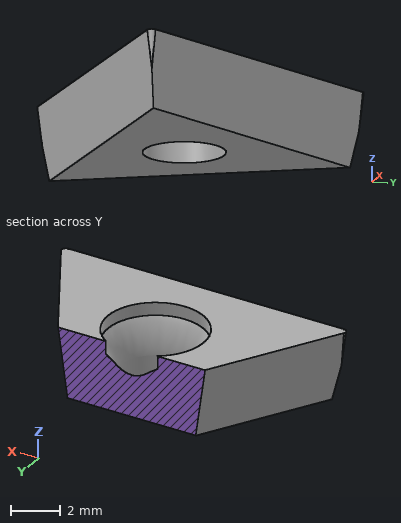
import cadquery as cq
import math

width = 13.46
thickness = 3.18
corner_radius = 0.2
clearance_angle = 7.0

rim_diameter = 4.5
bore_diameter = 3.39
rim_depth = 0.59
seat_bottom_depth = 2.14

slope = math.tan(math.radians(clearance_angle))
cone_depth = corner_radius / slope
apex_side = width - 2 * corner_radius


def triangle(side, height):
    """Centred equilateral triangle with one corner toward +Y."""
    circumradius = side / math.sqrt(3)
    corners = [
        (circumradius * math.cos(math.radians(angle)), circumradius * math.sin(math.radians(angle)))
        for angle in (90, 210, 330)
    ]
    return cq.Workplane("XY").workplane(offset=height).polyline(corners).close()


def make_body():
    """Sharp lower frustum topped by one whose corners open out as cones."""
    apex_height = thickness - cone_depth
    lower = triangle(apex_side, apex_height).extrude(-apex_height, taper=clearance_angle)
    upper = triangle(apex_side, apex_height).extrude(cone_depth, taper=-clearance_angle)
    return lower.union(upper).clean()


def make_hole():
    """Revolved cutter; the convex seat arc is tangent to the bore."""
    rim_radius = rim_diameter / 2
    bore_radius = bore_diameter / 2
    rim_bottom = thickness - rim_depth
    seat_bottom = thickness - seat_bottom_depth
    seat_width = rim_radius - bore_radius
    seat_height = rim_bottom - seat_bottom
    seat_radius = (seat_width**2 + seat_height**2) / (2 * seat_width)
    half_sweep = math.asin(seat_height / seat_radius) / 2
    seat_middle = (
        bore_radius + seat_radius * (1 - math.cos(half_sweep)),
        seat_bottom + seat_radius * math.sin(half_sweep),
    )
    return (
        cq.Workplane("XZ")
        .lineTo(bore_radius, 0)
        .lineTo(bore_radius, seat_bottom)
        .threePointArc(seat_middle, (rim_radius, rim_bottom))
        .lineTo(rim_radius, thickness)
        .lineTo(0, thickness)
        .close()
        .revolve(360, (0, 0), (0, 1))
    )


result = make_body().cut(make_hole())